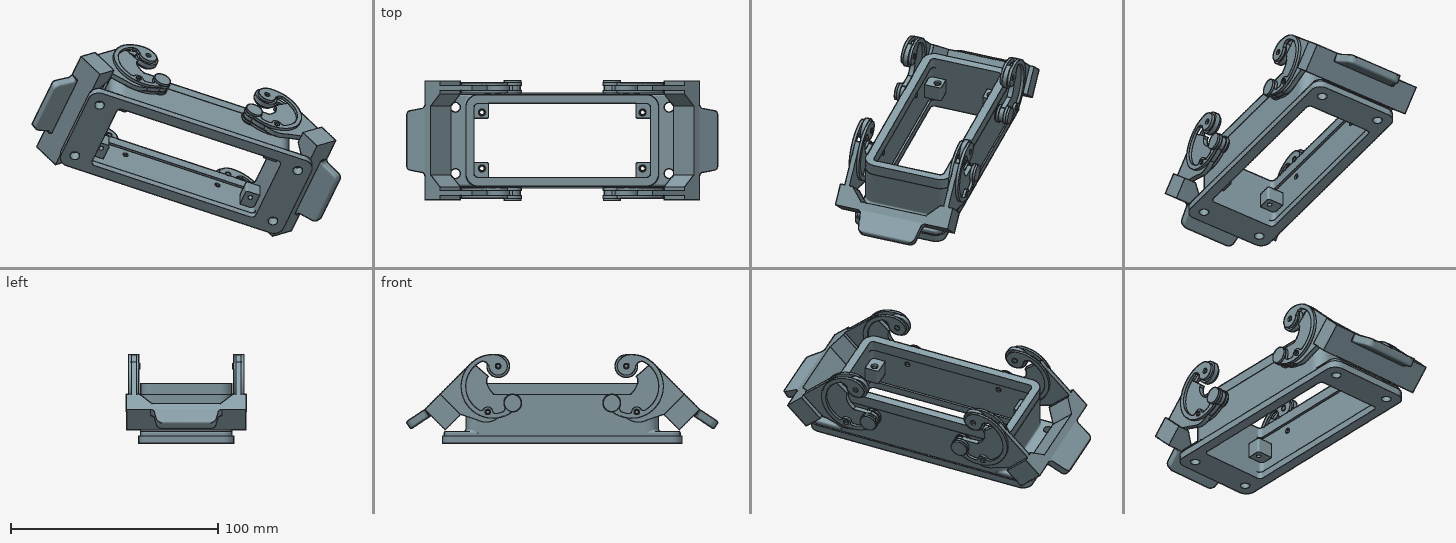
import cadquery as cq
import math

FLANGE_LENGTH, FLANGE_WIDTH, FLANGE_TOP = 115.6, 45.9, 3.7
FLANGE_CORNER = 5.0
STEP_INSET = 0.85
STEP_TOP = 5.8
STEP_ROUND = 0.9
STEP_LENGTH = FLANGE_LENGTH - 2 * STEP_INSET
STEP_WIDTH = FLANGE_WIDTH - 2 * STEP_INSET
MOUNT_SPACING_X, MOUNT_SPACING_Y, MOUNT_HOLE_D = 103.0, 32.0, 4.6

HOUSING_LENGTH, HOUSING_WIDTH = 93.0, STEP_WIDTH
HOUSING_CORNER = 6.0
HOUSING_SPLIT, HOUSING_TOP = 23.5, 29.0
SPLIT_OFFSET = 0.1
HOUSING_FOOT_ROUND = 1.0
CAVITY_LENGTH, CAVITY_WIDTH, CAVITY_CORNER = 85.0, 35.7, 2.0
UNDERCUT = 1.1
CAVITY_WALL_Y = CAVITY_WIDTH / 2 + UNDERCUT

POST_INNER_X, POST_INNER_Y = 35.5, 10.6
POST_BOTTOM, POST_TOP = 9.7, 17.5
POST_CORNER = 1.0
POST_OVERLAP = 0.5
SCREW_SPACING_X, SCREW_SPACING_Y = 77.5, 27.0
SCREW_D, SCREW_SINK_D, SCREW_SINK_ANGLE = 2.2, 3.4, 90

LEVER_INNER_Y, CORE_INNER_Y, CORE_OUTER_Y, LEVER_OUTER_Y = 22.8, 24.1, 26.5, 27.9
HALF_WIDTH = 29.0

BAND_CENTER = (-33.35, 27.54)
BAND_OUTER_R, BAND_INNER_R = 15.4, 13.2
CORE_OUTER_R = 15.0
CORE_TIP = 32.2
HOOK = (-30.9, 37.3)
HOOK_TIP_R, ROLLER_R = 4.4, 5.5
PIVOT = (-23.9, 19.5)
PIVOT_HEAD_R, PIVOT_SHAFT_R, PIVOT_EYE_R = 4.1, 3.7, 4.3
LOWER_RIVET = (-35.9, 15.2)
RIVET_BOSS_R = 2.4
BOSS_BLEND_R, EYE_BLEND_R = 1.5, 2.0
RIVET_R, RIVET_BORE_R, RIVET_SINK = 1.35, 0.85, 0.5
RIVET_HEAD = 0.4
PIVOT_EMBED = 1.0

TILT = 45.0
BAR_LENGTH, BAR_DEPTH, BAR_HALF_Y = 10.4, 13.9, 28.7
BAR_LEFT_X = -66.25
BAR_WEB = 4.0
NOTCH_TOP_HALF_Y, NOTCH_FLOOR_HALF_Y = 22.5, 16.6

TAB_ANGLE = 33.5
TAB_THICKNESS = 4.2
TAB_ROOT_HALF_Y, TAB_NECK_HALF_Y, TAB_TIP_HALF_Y = 17.2, 15.4, 14.0
TAB_FLARE = 2.2
TAB_CORNER = 3.0
TAB_END_ROUND = 1.0
TIP_X = -74.995
BAR_LEFT_Z = BAR_LEFT_X - (BAND_CENTER[0] - BAND_CENTER[1] - BAND_OUTER_R * math.sqrt(2))
SHELF_Z = 23.5


def polar(center, radius, degrees):
    angle = math.radians(degrees)
    return (center[0] + radius * math.cos(angle), center[1] + radius * math.sin(angle))


def rounded_block(length, width, corner, bottom, top):
    block = cq.Workplane("XY").workplane(offset=bottom).rect(length, width).extrude(top - bottom)
    return block.edges("|Z").fillet(corner)


def across(profile, y_from, y_to):
    """Extrude an XZ profile between two positive Y positions."""
    return profile.extrude(y_from - y_to).translate((0, y_from, 0))


def side_plane():
    return cq.Workplane("XZ")


def disc(center, radius, y_from, y_to):
    return across(side_plane().center(*center).circle(radius), y_from, y_to)


def base():
    flange = rounded_block(FLANGE_LENGTH, FLANGE_WIDTH, FLANGE_CORNER, 0, FLANGE_TOP)
    step = rounded_block(STEP_LENGTH, STEP_WIDTH, FLANGE_CORNER - STEP_INSET, 0, STEP_TOP)
    return flange.union(step.faces(">Z").edges().fillet(STEP_ROUND))


def housing():
    lower = rounded_block(HOUSING_LENGTH, HOUSING_WIDTH, HOUSING_CORNER, 0, HOUSING_SPLIT)
    upper = rounded_block(
        HOUSING_LENGTH - 2 * SPLIT_OFFSET,
        HOUSING_WIDTH - 2 * SPLIT_OFFSET,
        HOUSING_CORNER - SPLIT_OFFSET,
        0,
        HOUSING_TOP,
    )
    return lower.union(upper)


def cavity():
    opening = rounded_block(CAVITY_LENGTH, CAVITY_WIDTH, CAVITY_CORNER, 0, HOUSING_TOP)
    undercut = rounded_block(CAVITY_LENGTH, 2 * CAVITY_WALL_Y, CAVITY_CORNER, FLANGE_TOP, HOUSING_SPLIT)
    return opening.union(undercut)


def screw_posts():
    outer_x, outer_y = CAVITY_LENGTH / 2 + POST_OVERLAP, CAVITY_WALL_Y + POST_OVERLAP
    height = POST_TOP - POST_BOTTOM
    posts = cq.Workplane("XY")
    for sx in (-1, 1):
        for sy in (-1, 1):
            post = cq.Workplane("XY").box(outer_x - POST_INNER_X, outer_y - POST_INNER_Y, height)
            inner_edge = ("<X" if sx > 0 else ">X") + " and " + ("<Y" if sy > 0 else ">Y")
            post = post.edges("|Z").edges(inner_edge).fillet(POST_CORNER)
            center = (sx * (outer_x + POST_INNER_X) / 2, sy * (outer_y + POST_INNER_Y) / 2)
            posts = posts.union(post.translate((*center, POST_BOTTOM + height / 2)))
    return (
        posts.faces(">Z")
        .workplane(origin=(0, 0, POST_TOP))
        .rect(SCREW_SPACING_X, SCREW_SPACING_Y, forConstruction=True)
        .vertices()
        .cskHole(SCREW_D, SCREW_SINK_D, SCREW_SINK_ANGLE)
    )


def filleted_shell():
    shell = base().union(housing())
    reach_x, reach_y, tol = HOUSING_LENGTH / 2 + 0.1, HOUSING_WIDTH / 2 + 0.1, 0.05
    foot = cq.selectors.BoxSelector(
        (-reach_x, -reach_y, STEP_TOP - tol), (reach_x, reach_y, STEP_TOP + tol), boundingbox=True
    )
    shell = shell.edges(foot).fillet(HOUSING_FOOT_ROUND)
    mounts = cq.Workplane("XY").rect(MOUNT_SPACING_X, MOUNT_SPACING_Y, forConstruction=True).vertices()
    return shell.cut(cavity()).cut(mounts.circle(MOUNT_HOLE_D / 2).extrude(STEP_TOP))


def band(y_from, y_to):
    """Curved side band running from the hook tip around to the eye at the pivot."""
    hook_outer = polar(BAND_CENTER, BAND_OUTER_R, 90)
    pivot_angle = -40
    inner_end = polar(BAND_CENTER, BAND_INNER_R, 114)
    profile = (
        side_plane()
        .moveTo(*hook_outer)
        .threePointArc(polar(BAND_CENTER, BAND_OUTER_R, 200), polar(BAND_CENTER, BAND_OUTER_R, pivot_angle))
        .lineTo(*polar(BAND_CENTER, BAND_INNER_R, pivot_angle))
        .threePointArc(polar(BAND_CENTER, BAND_INNER_R, 200), inner_end)
        .threePointArc((-37.6, 39.4), (-36.6, 39.0))
        .lineTo(*polar(HOOK, HOOK_TIP_R, 180))
        .lineTo(*HOOK)
        .lineTo(*polar(HOOK, HOOK_TIP_R, 50))
        .threePointArc((-30.4, 42.35), hook_outer)
        .close()
    )
    body = across(profile, y_from, y_to)
    body = body.union(disc(HOOK, HOOK_TIP_R, y_from, y_to))
    body = body.union(disc(PIVOT, PIVOT_EYE_R, y_from, y_to))
    body = body.union(disc(LOWER_RIVET, RIVET_BOSS_R, y_from, y_to))
    x, z = LOWER_RIVET
    boss_edges = cq.selectors.BoxSelector((x - 5, 0, z - 2), (x + 4, HALF_WIDTH, z + 1))
    body = body.edges("|Y").edges(boss_edges).fillet(BOSS_BLEND_R)
    x, z = PIVOT
    eye_edges = cq.selectors.BoxSelector((x - 4, 0, z - 4), (x - 2, HALF_WIDTH, z))
    return body.edges("|Y").edges(eye_edges).fillet(EYE_BLEND_R)


def core():
    """Core plate: arm from the bar, cut off square at the hook, with a shelf towards the pivot."""
    profile = (
        side_plane()
        .moveTo(*bar_point(BAR_LENGTH / 2, 0))
        .lineTo(*bar_point(CORE_TIP, 0))
        .lineTo(-35.6, 32.3)
        .lineTo(-36.3, 31.2)
        .lineTo(-36.3, 29.07)
        .threePointArc((-35.1, 26.2), (-32.5, SHELF_Z))
        .lineTo(PIVOT[0], SHELF_Z)
        .lineTo(*polar(BAND_CENTER, CORE_OUTER_R, -51))
        .threePointArc(polar(BAND_CENTER, CORE_OUTER_R, -65), polar(BAND_CENTER, CORE_OUTER_R, -79))
        .threePointArc((-36.2, 10.3), (-41.1, 11.4))
        .lineTo(-46.2, 13.1)
        .lineTo(*bar_point(BAR_LENGTH, BAR_DEPTH))
        .lineTo(*bar_point(BAR_LENGTH / 2, BAR_DEPTH))
        .close()
    )
    plate = across(profile, CORE_INNER_Y, CORE_OUTER_Y)
    return plate.union(disc(HOOK, ROLLER_R, CORE_INNER_Y, CORE_OUTER_Y))


def pin_sink(center, face_y, direction):
    """Conical centre sink in a pin end lying at face_y, cut along the Y direction."""
    apex_base = cq.Vector(center[0], face_y, center[1])
    cone = cq.Solid.makeCone(RIVET_R, RIVET_BORE_R, RIVET_SINK, apex_base, cq.Vector(0, direction, 0))
    return cq.Workplane(cone)


def lever():
    body = core().union(band(LEVER_INNER_Y, CORE_INNER_Y)).union(band(CORE_OUTER_Y, LEVER_OUTER_Y))
    for rivet in (HOOK, LOWER_RIVET):
        body = body.union(disc(rivet, RIVET_R, LEVER_INNER_Y - RIVET_HEAD, LEVER_INNER_Y))
        body = body.cut(pin_sink(rivet, LEVER_OUTER_Y, -1))
    body = body.union(disc(PIVOT, PIVOT_SHAFT_R, HOUSING_WIDTH / 2 - PIVOT_EMBED, LEVER_OUTER_Y))
    return body.union(disc(PIVOT, PIVOT_HEAD_R, LEVER_OUTER_Y, HALF_WIDTH))


def bar_point(along, depth):
    """XZ point of the bar section: along the lever arm and into the bar depth."""
    c = math.cos(math.radians(TILT))
    s = math.sin(math.radians(TILT))
    return (BAR_LEFT_X + along * c + depth * s, BAR_LEFT_Z + along * s - depth * c)


def tilted_plane(degrees):
    """Plane at the bar's outer top edge: local x is Y, local y climbs the arm, z goes into the depth."""
    angle = math.radians(degrees)
    return cq.Plane(
        origin=(BAR_LEFT_X, 0, BAR_LEFT_Z),
        xDir=(0, 1, 0),
        normal=(math.sin(angle), 0, -math.cos(angle)),
    )


def handle_bar():
    outline = [
        (-BAR_HALF_Y, 0),
        (BAR_HALF_Y, 0),
        (BAR_HALF_Y, BAR_LENGTH),
        (NOTCH_TOP_HALF_Y, BAR_LENGTH),
        (NOTCH_FLOOR_HALF_Y, BAR_WEB),
        (-NOTCH_FLOOR_HALF_Y, BAR_WEB),
        (-NOTCH_TOP_HALF_Y, BAR_LENGTH),
        (-BAR_HALF_Y, BAR_LENGTH),
    ]
    return cq.Workplane(tilted_plane(TILT)).polyline(outline).close().extrude(BAR_DEPTH)


def finger_tab():
    angle = math.radians(TAB_ANGLE)
    overhang = BAR_LEFT_X - TIP_X - TAB_END_ROUND * (1 - math.sin(angle))
    length = TAB_END_ROUND + overhang / math.cos(angle)
    flare_mid = (TAB_NECK_HALF_Y + 0.4, -TAB_FLARE * 0.4)
    root = BAR_WEB / 2
    plane = tilted_plane(TAB_ANGLE)
    plan = (
        cq.Workplane(plane)
        .moveTo(-TAB_ROOT_HALF_Y, root)
        .lineTo(TAB_ROOT_HALF_Y, root)
        .lineTo(TAB_ROOT_HALF_Y, 0)
        .threePointArc(flare_mid, (TAB_NECK_HALF_Y, -TAB_FLARE))
        .lineTo(TAB_TIP_HALF_Y, -length)
        .lineTo(-TAB_TIP_HALF_Y, -length)
        .lineTo(-TAB_NECK_HALF_Y, -TAB_FLARE)
        .threePointArc((-flare_mid[0], flare_mid[1]), (-TAB_ROOT_HALF_Y, 0))
        .close()
        .extrude(TAB_THICKNESS)
    )
    tip = cq.selectors.BoxSelector((TIP_X - 1, -HALF_WIDTH, 0), (TIP_X + 4, HALF_WIDTH, BAR_LEFT_Z))
    underside = cq.selectors.DirectionMinMaxSelector(plane.zDir, True)
    plan = plan.edges(tip).edges(cq.selectors.ParallelDirSelector(plane.zDir)).fillet(TAB_CORNER)
    plan = plan.faces(underside).edges().fillet(TAB_END_ROUND)
    section = cq.Workplane(plane).center(0, (root - length) / 2).rect(2 * HALF_WIDTH, root + length)
    section = section.extrude(TAB_THICKNESS).edges("|Y").edges("<X").fillet(TAB_END_ROUND)
    return plan.intersect(section)


def left_handle():
    arm = lever()
    return arm.union(arm.mirror("XZ")).union(handle_bar()).union(finger_tab())


def pivot_sinks():
    """Sinks of the four pivot pins, on the inside of the long walls."""
    sink = pin_sink(PIVOT, CAVITY_WALL_Y, 1)
    pair = sink.union(sink.mirror("XZ"))
    return pair.union(pair.mirror("YZ"))


handle = left_handle()
result = filleted_shell().cut(pivot_sinks()).union(screw_posts()).union(handle).union(handle.mirror("YZ"))